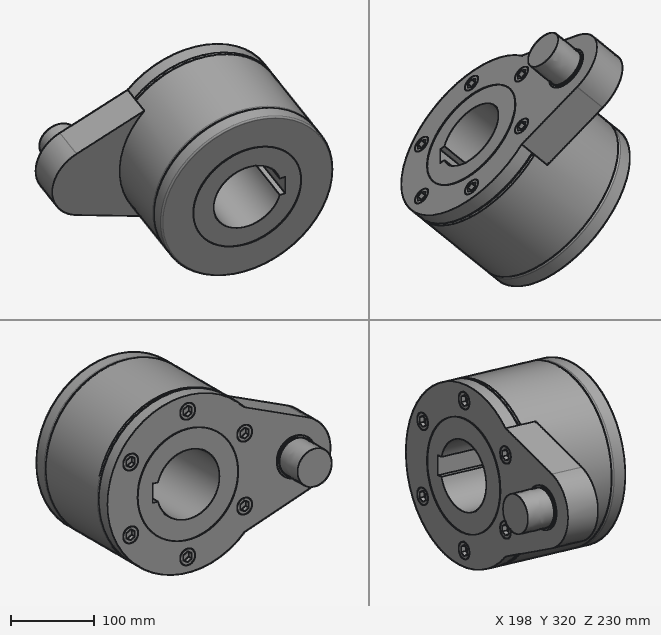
import cadquery as cq
import math

body_length = 156.0
body_radius = 115.0
joint_offset = 20.5
edge_radius = 2.1

hub_radius = 72.0
hub_step = 1.0

bore_radius = 45.0
keyway_width = 25.0
keyway_reach = 50.4

arm_thickness = 45.0
arm_tip_radius = 50.0
arm_taper = math.radians(20.5)

pin_offset = 155.0
pin_tip = 41.0
pin_end_radius = 24.6
pin_crown_radius = 25.0
collar_radius = 27.5
collar_height = 1.0
shoulder_radius = 25.0
shoulder_height = 1.0

screw_count = 6
screw_circle_radius = 94.3
screw_head_radius = 10.5
counterbore_radius = 10.9
counterbore_depth = 14.0
hex_flat_width = 12.0
hex_depth = 7.0


def cylinder_along_x(radius, x_start, x_end, y=0.0, z=0.0):
    axis_start = cq.Vector(x_start, y, z)
    return cq.Workplane(cq.Solid.makeCylinder(radius, x_end - x_start, axis_start, cq.Vector(1, 0, 0)))


def make_drum():
    """Turned drum; two rounded edges meet in a cusped groove at each cover joint."""
    cusp_radius = body_radius - edge_radius
    arc_mid_inset = edge_radius * (1 - math.sqrt(0.5))
    arc_mid_radius = body_radius - arc_mid_inset
    profile = cq.Workplane("XY").moveTo(0, 0).lineTo(0, body_radius)
    for joint in (joint_offset, body_length - joint_offset):
        profile = (
            profile.lineTo(joint - edge_radius, body_radius)
            .threePointArc((joint - arc_mid_inset, arc_mid_radius), (joint, cusp_radius))
            .threePointArc((joint + arc_mid_inset, arc_mid_radius), (joint + edge_radius, body_radius))
        )
    profile = (
        profile.lineTo(body_length - edge_radius, body_radius)
        .threePointArc((body_length - arc_mid_inset, arc_mid_radius), (body_length, cusp_radius))
        .lineTo(body_length, 0)
        .close()
    )
    return profile.revolve(360, (0, 0, 0), (1, 0, 0))


def make_arm():
    """Flanks tangent to the rounded tip, widening until they meet the drum surface."""
    tangent_y = -pin_offset - arm_tip_radius * math.sin(arm_taper)
    tangent_z = arm_tip_radius * math.cos(arm_taper)
    flank_distance = arm_tip_radius + pin_offset * math.sin(arm_taper)
    meeting_angle = math.pi / 2 - arm_taper - math.acos(flank_distance / body_radius)
    meeting_y = -body_radius * math.cos(meeting_angle)
    meeting_z = body_radius * math.sin(meeting_angle)
    return (
        cq.Workplane("YZ")
        .moveTo(0, -meeting_z)
        .lineTo(meeting_y, -meeting_z)
        .lineTo(tangent_y, -tangent_z)
        .threePointArc((-pin_offset - arm_tip_radius, 0), (tangent_y, tangent_z))
        .lineTo(meeting_y, meeting_z)
        .lineTo(0, meeting_z)
        .close()
        .extrude(arm_thickness)
    )


def make_pin():
    flank_base = -(collar_height + shoulder_height)
    flank_middle = (flank_base - pin_tip) / 2
    crowned_pin = (
        cq.Workplane("XY")
        .moveTo(-pin_tip, 0)
        .lineTo(-pin_tip, pin_end_radius)
        .threePointArc((flank_middle, pin_crown_radius), (flank_base, pin_end_radius))
        .lineTo(flank_base, shoulder_radius)
        .lineTo(0, shoulder_radius)
        .lineTo(0, 0)
        .close()
        .revolve(360, (0, 0, 0), (1, 0, 0))
        .translate((0, -pin_offset, 0))
    )
    collar = cylinder_along_x(collar_radius, -collar_height, 0, y=-pin_offset)
    return crowned_pin.union(collar)


def make_bore():
    bore = cylinder_along_x(bore_radius, -hub_step, body_length + hub_step)
    keyway = cq.Workplane("XY").box(
        body_length + 2 * hub_step, keyway_reach, keyway_width, centered=(False, False, True)
    )
    return bore.union(keyway.translate((-hub_step, 0, 0)))


def cut_screws(part):
    """Cut the clearance ring around each screw head and its hexagonal socket."""
    hex_corner_diameter = hex_flat_width / math.cos(math.pi / 6)
    for index in range(screw_count):
        angle = math.pi / 2 + index * 2 * math.pi / screw_count
        y = screw_circle_radius * math.cos(angle)
        z = screw_circle_radius * math.sin(angle)
        head = cylinder_along_x(screw_head_radius, 0, counterbore_depth, y, z)
        clearance = cylinder_along_x(counterbore_radius, 0, counterbore_depth, y, z).cut(head)
        socket = (
            cq.Workplane("YZ")
            .polygon(6, hex_corner_diameter)
            .extrude(hex_depth)
            .rotate((0, 0, 0), (1, 0, 0), 90)
            .translate((0, y, z))
        )
        part = part.cut(clearance).cut(socket)
    return part


hub = cylinder_along_x(hub_radius, -hub_step, body_length + hub_step)
housing = make_drum().union(make_arm()).union(hub).union(make_pin())
result = cut_screws(housing.cut(make_bore()))